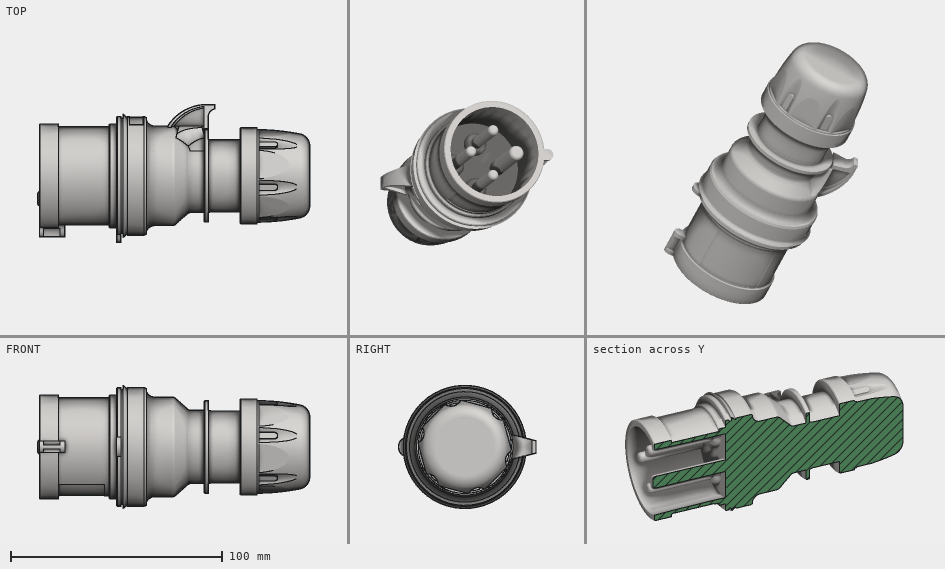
import cadquery as cq
import math


front_x = 0.8
collar_end_x = 9.8
collar_r = 49.2 / 2
sleeve_r = 46.7 / 2
sleeve_end_x = 33.9
bore_r = 21.5
bore_floor_r = 21.1

flange_x = 37.4
flange_end_x = 39.5
flange_r = 56.3 / 2
seal_groove_r = 27.3
lip_x = 40.5
lip_r = 58.4 / 2
housing_x = 42.7
housing_end_x = 51.6
housing_edge_length = 1.2
housing_edge_drop = 0.5
edge_chamfer = 0.4
hollow_start_r = 26.2
hollow_mid = (52.9, 24.5)
shoulder_x = 54.9
shoulder_r = 47.3 / 2

cone_x = 63.8
cone_round_mid = (64.6, 23.5)
cone_front = (65.2, 23.1)
cone_rear = (71.0, 17.9)
neck_round_mid = (71.7, 17.5)
neck_x = 72.5
neck_r = 17.4
disc_x = 78.8
disc_end_x = 80.8
disc_r = 44.0 / 2
rear_neck_x = 82.0
rear_neck_r = 17.1
nut_x = 95.9
nut_end_x = 103.9
nut_r = 45.6 / 2
cap_r = 22.0
cap_mid_x = 118.5
cap_mid_r = 20.9
cap_round_x = 123.9
cap_round_r = 20.0
end_round_mid = (127.8, 17.7)
end_x = 128.9
end_r = 14.3

pin_circle_r = 10.8
phase_pin_d = 5.0
phase_pin_tip_x = 1.9
earth_pin_d = 7.0
pin_tip_round = 1.4
socket_collar_r = 5.3
socket_collar_length = 3.2
socket_collar_round = 1.9

key_half_width = 2.7
key_end_x = 12.9
key_top = 28.9
key_notch_x = 2.7
key_notch_end_x = 10.7
key_web = 1.9
key_notch_floor = 24.9
lug_r = 4.8
lug_center = 26.7

lever_start_x = 61.6
lever_crest_x = 78.1
lever_end_x = 83.9
lever_top = 33.8
lever_arc_x = 70.0
lever_arc_y = 31.3
lever_lip_y = 31.7
lever_hook_mid = (81.7, 30.4)
lever_hook_y = 28.4
lever_rim = 1.5
lever_step_rim = 0.9
lever_step_half_width = 2.7
lever_web = 3.1
lever_top_half_width = 3.0
lever_base_half_width = 5.8
hump_base = 11.9
hump_flank_half_width = 12.8
hump_ridge_half_width = 1.7
rib_front_half_width = 19.3
rib_mid_x = 69.6
rib_mid_half_width = 12.5
rib_rear_half_width = 8.5
rib_draft = 15.0

grip_count = 6
first_grip_angle = 15.0
scoop_r = 5.2
scoop_floor = 20.1
grip_start_x = 104.8
grip_flat_front = 20.9
grip_flat_rear = 20.8
bar_width = 3.1
bar_end_x = 113.7
bar_top = 21.1

housing_recess_x = 43.5
housing_recess_end_x = 49.9
housing_recess_half_angle = 30.0
label_x = 10.2
label_end_x = 31.6
label_half_angle = 40.0
recess_depth = 0.3

overlap = 1.3


def cylinder_x(x0, x1, radius, y=0.0, z=0.0):
    return cq.Workplane("YZ", origin=(x0, y, z)).circle(radius).extrude(x1 - x0)


def box(x0, x1, y0, y1, half_width):
    return cq.Workplane("XY").box(x1 - x0, y1 - y0, 2 * half_width).translate(
        ((x0 + x1) / 2, (y0 + y1) / 2, 0)
    )


def trapezoid_x(x0, x1, y0, half_width_0, y1, half_width_1):
    section = [(y0, -half_width_0), (y1, -half_width_1), (y1, half_width_1), (y0, half_width_0)]
    return cq.Workplane("YZ", origin=(x0, 0, 0)).polyline(section).close().extrude(x1 - x0)


def turn(shape, angle):
    return shape.rotate((0, 0, 0), (1, 0, 0), angle)


def turned_body():
    profile = (
        cq.Workplane("XY")
        .moveTo(front_x, 0)
        .lineTo(front_x, collar_r - edge_chamfer)
        .lineTo(front_x + edge_chamfer, collar_r)
        .lineTo(collar_end_x, collar_r)
        .lineTo(collar_end_x, sleeve_r)
        .lineTo(sleeve_end_x, sleeve_r)
        .lineTo(sleeve_end_x, collar_r - edge_chamfer)
        .lineTo(sleeve_end_x + edge_chamfer, collar_r)
        .lineTo(flange_x, collar_r)
        .lineTo(flange_x, flange_r - edge_chamfer)
        .lineTo(flange_x + edge_chamfer, flange_r)
        .lineTo(flange_end_x, flange_r)
        .lineTo(flange_end_x, seal_groove_r)
        .lineTo(lip_x, seal_groove_r)
        .lineTo(lip_x, lip_r)
        .lineTo(housing_x, seal_groove_r)
        .lineTo(housing_x, flange_r)
        .lineTo(housing_end_x - housing_edge_length, flange_r)
        .lineTo(housing_end_x, flange_r - housing_edge_drop)
        .lineTo(housing_end_x, hollow_start_r)
        .threePointArc(hollow_mid, (shoulder_x, shoulder_r))
        .lineTo(cone_x, shoulder_r)
        .threePointArc(cone_round_mid, cone_front)
        .lineTo(*cone_rear)
        .threePointArc(neck_round_mid, (neck_x, neck_r))
        .lineTo(disc_x, neck_r)
        .lineTo(disc_x, disc_r - edge_chamfer)
        .lineTo(disc_x + edge_chamfer, disc_r)
        .lineTo(disc_end_x, disc_r)
        .lineTo(disc_end_x, neck_r)
        .lineTo(rear_neck_x, rear_neck_r)
        .lineTo(nut_x, rear_neck_r)
        .lineTo(nut_x, nut_r - edge_chamfer)
        .lineTo(nut_x + edge_chamfer, nut_r)
        .lineTo(nut_end_x, nut_r)
        .lineTo(nut_end_x, cap_r)
        .threePointArc((cap_mid_x, cap_mid_r), (cap_round_x, cap_round_r))
        .threePointArc(end_round_mid, (end_x, end_r))
        .lineTo(end_x, 0)
        .close()
    )
    return profile.revolve(360, (0, 0, 0), (1, 0, 0))


def socket_bore():
    return (
        cq.Workplane("YZ", origin=(front_x, 0, 0))
        .circle(bore_r)
        .workplane(offset=flange_x - front_x)
        .circle(bore_floor_r)
        .loft()
    )


def rounded_stud(tip_x, radius, tip_round, angle):
    """Cylinder on the pin circle, standing on the socket floor; angle runs from +Y to +Z."""
    y = pin_circle_r * math.cos(math.radians(angle))
    z = pin_circle_r * math.sin(math.radians(angle))
    stud = cylinder_x(tip_x, flange_x + overlap, radius, y, z)
    return stud.faces("<X").edges().fillet(tip_round)


def polarising_key():
    round_center = -(key_top - key_half_width)
    root = -(sleeve_r - overlap)
    key = box(front_x, key_end_x, round_center, root, key_half_width)
    key = key.union(cylinder_x(front_x, key_end_x, key_half_width, round_center))
    notch = box(key_notch_x, key_notch_end_x, -key_top, -key_notch_floor, key_half_width)
    web = box(key_notch_x, key_notch_end_x, -key_top, -key_notch_floor, key_web / 2)
    return key.cut(notch.cut(web))


def lever():
    root = shoulder_r - overlap
    outline = (
        cq.Workplane("XY")
        .moveTo(lever_start_x, root)
        .lineTo(lever_start_x, shoulder_r)
        .threePointArc((lever_arc_x, lever_arc_y), (lever_crest_x, lever_top))
        .lineTo(lever_end_x, lever_top)
        .lineTo(lever_end_x, lever_lip_y)
        .threePointArc(lever_hook_mid, (disc_end_x, lever_hook_y))
        .lineTo(disc_end_x, root)
        .close()
        .extrude(2 * lever_base_half_width)
        .translate((0, 0, -lever_base_half_width))
    )
    taper = trapezoid_x(
        lever_start_x, lever_end_x, root, lever_base_half_width, lever_top, lever_top_half_width
    )
    shell = outline.intersect(taper)
    for rim, half_web in ((lever_rim, lever_web / 2), (lever_step_rim, lever_step_half_width)):
        pocket = (
            cq.Workplane("XY")
            .moveTo(lever_start_x + 2 * rim, root)
            .lineTo(lever_start_x + 2 * rim, shoulder_r)
            .threePointArc((lever_arc_x + rim, lever_arc_y - rim), (disc_x, lever_top - rim))
            .lineTo(disc_x, root)
            .close()
            .extrude(lever_base_half_width)
            .translate((0, 0, half_web))
        )
        shell = shell.cut(pocket).cut(pocket.mirror("XY"))
    return shell


def hump():
    """Flanks rising tangent to the neck, topped by a rib that flares into the cone."""
    height = shoulder_r - hump_base
    flanks = trapezoid_x(
        cone_x, disc_x, hump_base, hump_flank_half_width, shoulder_r, hump_ridge_half_width
    )
    rib = (
        cq.Workplane("ZX", origin=(0, hump_base, 0))
        .moveTo(-rib_front_half_width, cone_x)
        .threePointArc((-rib_mid_half_width, rib_mid_x), (-rib_rear_half_width, disc_end_x))
        .lineTo(rib_rear_half_width, disc_end_x)
        .threePointArc((rib_mid_half_width, rib_mid_x), (rib_front_half_width, cone_x))
        .close()
        .extrude(height, taper=rib_draft)
    )
    envelope = cylinder_x(cone_x, disc_x, shoulder_r)
    return flanks.union(rib).intersect(envelope)


def grip_scoop():
    scoop = cylinder_x(grip_start_x, end_x, scoop_r, -(scoop_floor + scoop_r))
    bar_round_x = bar_end_x - bar_width / 2
    bar = box(nut_end_x, bar_round_x, -bar_top, -scoop_floor + overlap, bar_width / 2)
    bar_round = (
        cq.Workplane("XZ", origin=(bar_round_x, -scoop_floor + overlap, 0))
        .circle(bar_width / 2)
        .extrude(bar_top - scoop_floor + overlap)
    )
    return scoop.cut(bar).cut(bar_round)


def grip_flat_cut():
    clear = nut_r + overlap
    side = [
        (grip_start_x, -grip_flat_front),
        (cap_round_x, -grip_flat_rear),
        (cap_round_x, -clear),
        (grip_start_x, -clear),
    ]
    return cq.Workplane("XY").polyline(side).close().extrude(nut_r / 2, both=True)


def surface_recess(x0, x1, radius, half_angle):
    """Shallow arc-shaped recess centred on the +Y direction."""
    ring = cylinder_x(x0, x1, radius + overlap).cut(cylinder_x(x0, x1, radius - recess_depth))
    reach = 2 * radius
    spread = reach * math.tan(math.radians(half_angle))
    wedge = (
        cq.Workplane("YZ", origin=(x0, 0, 0))
        .polyline([(0, 0), (reach, -spread), (reach, spread)])
        .close()
        .extrude(x1 - x0)
    )
    return ring.intersect(wedge)


result = turned_body().union(hump())
for grip in range(grip_count):
    grip_angle = -first_grip_angle - grip * 360 / grip_count
    result = result.cut(turn(grip_scoop(), grip_angle))
    result = result.cut(turn(grip_flat_cut(), grip_angle + 180 / grip_count))

result = result.union(polarising_key())
result = result.union(cylinder_x(flange_x, flange_end_x, lug_r, -lug_center))
result = result.union(lever())
result = result.cut(
    surface_recess(housing_recess_x, housing_recess_end_x, flange_r, housing_recess_half_angle)
)
result = result.cut(turn(surface_recess(label_x, label_end_x, sleeve_r, label_half_angle), -90))

result = result.cut(socket_bore())
socket_collar_x = flange_x - socket_collar_length
for phase_angle in (-90, 0, 90):
    result = result.union(rounded_stud(socket_collar_x, socket_collar_r, socket_collar_round, phase_angle))
    result = result.union(rounded_stud(phase_pin_tip_x, phase_pin_d / 2, pin_tip_round, phase_angle))
result = result.union(rounded_stud(0, earth_pin_d / 2, pin_tip_round, 180))